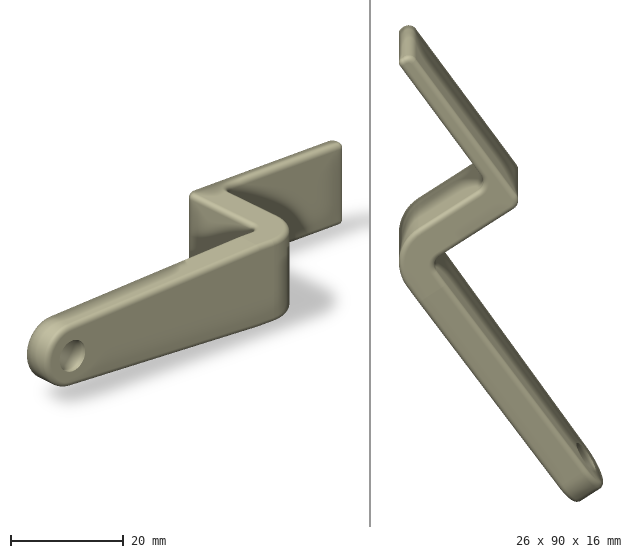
import cadquery as cq

length = 90.0
width = 26.0
height = 16.0
arm_thickness = 6.0
blade_thickness = 3.1
step_front_y = 55.0
step_thickness = 6.5
inner_bend_radius = 2.0
outer_bend_radius = 8.0
blade_corner_radius = 2.0
blade_end_radius = 1.5
edge_radius = 1.0
tip_radius = 6.0
hole_diameter = 6.0
taper_start_y = 50.0

step_back_y = step_front_y + step_thickness
arm_inner_x = width - arm_thickness
tip_y = tip_radius
half_height = height / 2


def bent_profile():
    """Extrude the stepped plan outline, with its bends rounded."""
    bar = (
        cq.Workplane("XY")
        .workplane(offset=-half_height)
        .polyline([
            (0, step_front_y),
            (arm_inner_x, step_front_y),
            (arm_inner_x, 0),
            (width, 0),
            (width, step_back_y),
            (blade_thickness, step_back_y),
            (blade_thickness, length),
            (0, length),
        ])
        .close()
        .extrude(height)
    )
    rounded_corners = [
        (0, step_front_y, blade_corner_radius),
        (arm_inner_x, step_front_y, inner_bend_radius),
        (width, step_back_y, outer_bend_radius),
        (blade_thickness, step_back_y, inner_bend_radius),
        (0, length, blade_end_radius),
        (blade_thickness, length, edge_radius),
    ]
    for x, y, radius in rounded_corners:
        bar = bar.edges(cq.NearestToPointSelector((x, y, 0))).fillet(radius)
    return bar


def side_profile():
    """Extrude the side outline: full height, then a taper to a round tip."""
    return (
        cq.Workplane("YZ")
        .moveTo(length, -half_height)
        .lineTo(length, half_height)
        .lineTo(taper_start_y, half_height)
        .lineTo(tip_y, tip_radius)
        .threePointArc((0, 0), (tip_y, -tip_radius))
        .lineTo(taper_start_y, -half_height)
        .close()
        .extrude(width)
    )


def pivot_hole():
    """Cylinder across the arm, concentric with the round tip."""
    return (
        cq.Workplane("YZ")
        .center(tip_y, 0)
        .circle(hole_diameter / 2)
        .extrude(width)
    )


body = bent_profile().intersect(side_profile())

body = body.faces("|Z").edges("not(|Z)").fillet(edge_radius)
result = body.cut(pivot_hole())